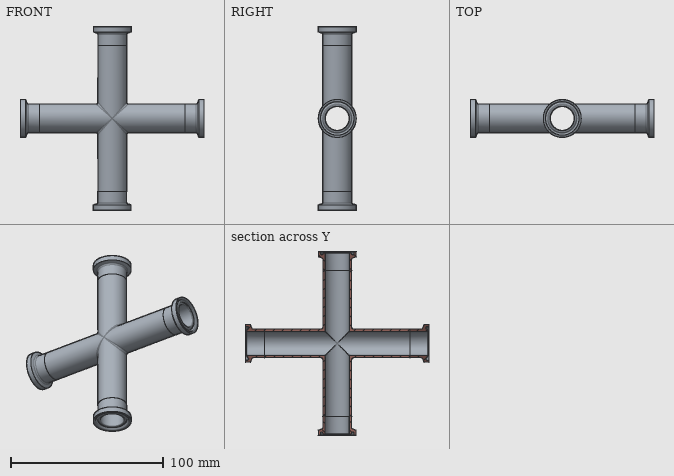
import cadquery as cq
import math

SPAN = 120.6
TUBE_RADIUS = 9.5
BORE_RADIUS = 7.8
CROTCH_FILLET = 1.1
ARM_COUNT = 4

FERRULE_LENGTH = 12.4
FLANGE_DIAMETER = 25.0
RIM_THICKNESS = 3.5
FLANGE_BACK_ANGLE = 20.0
NECK_FILLET = 1.0

GROOVE_RADIUS = 10.3
GROOVE_ROUND = 0.7
GROOVE_EDGE_FILLET = 0.5
INNER_FACE_RECESS = 0.8
BORE_LIP_FILLET = 0.4

FLANGE_RADIUS = FLANGE_DIAMETER / 2
FACE_DISTANCE = SPAN / 2
ARM_LENGTH = FACE_DISTANCE - FERRULE_LENGTH
ARM_STEP = 360 / ARM_COUNT


def crossed_cylinders(radius):
    """Two equal cylinders on X and Z that cross at the origin."""
    length = 2 * ARM_LENGTH
    along_z = cq.Workplane("XY", origin=(0, 0, -ARM_LENGTH)).circle(radius).extrude(length)
    along_x = cq.Workplane("YZ", origin=(-ARM_LENGTH, 0, 0)).circle(radius).extrude(length)
    return along_z.union(along_x)


def make_cross():
    """Four-way tube with rounded crotches and a bore through every arm."""
    outside = crossed_cylinders(TUBE_RADIUS)
    outside = outside.edges("not(%CIRCLE or %LINE)").fillet(CROTCH_FILLET)
    return outside.cut(crossed_cylinders(BORE_RADIUS))


def make_ferrule():
    """Ferrule on the +Z arm, revolved from its half section (radius, height)."""
    rim_base = FACE_DISTANCE - RIM_THICKNESS
    slope_angle = math.radians(FLANGE_BACK_ANGLE)
    neck_top = rim_base - (FLANGE_RADIUS - TUBE_RADIUS) * math.tan(slope_angle)

    tangent_length = NECK_FILLET * math.tan((math.pi / 2 - slope_angle) / 2)
    slope_start = (
        TUBE_RADIUS + tangent_length * math.cos(slope_angle),
        neck_top + tangent_length * math.sin(slope_angle),
    )

    inner_face = FACE_DISTANCE - INNER_FACE_RECESS
    groove_round_top = inner_face - GROOVE_EDGE_FILLET
    groove_outer = GROOVE_RADIUS + GROOVE_ROUND
    groove_inner = GROOVE_RADIUS - GROOVE_ROUND

    section = (
        cq.Workplane("XZ")
        .moveTo(BORE_RADIUS, ARM_LENGTH)
        .lineTo(TUBE_RADIUS, ARM_LENGTH)
        .lineTo(TUBE_RADIUS, neck_top - tangent_length)
        .tangentArcPoint(slope_start, relative=False)
        .lineTo(FLANGE_RADIUS, rim_base)
        .lineTo(FLANGE_RADIUS, FACE_DISTANCE)
        .lineTo(groove_outer + GROOVE_EDGE_FILLET, FACE_DISTANCE)
        .tangentArcPoint((groove_outer, FACE_DISTANCE - GROOVE_EDGE_FILLET), relative=False)
        .lineTo(groove_outer, groove_round_top)
        .tangentArcPoint((groove_inner, groove_round_top), relative=False)
        .tangentArcPoint((groove_inner - GROOVE_EDGE_FILLET, inner_face), relative=False)
        .lineTo(BORE_RADIUS + BORE_LIP_FILLET, inner_face)
        .tangentArcPoint((BORE_RADIUS, inner_face - BORE_LIP_FILLET), relative=False)
        .close()
    )
    return section.revolve(360, (0, 0), (0, 1))


cross = make_cross()
ferrule_on_top = make_ferrule()
ferrules = [
    ferrule_on_top.rotate((0, 0, 0), (0, 1, 0), index * ARM_STEP)
    for index in range(ARM_COUNT)
]

result = cq.Compound.makeCompound([cross.val(), *[ferrule.val() for ferrule in ferrules]])